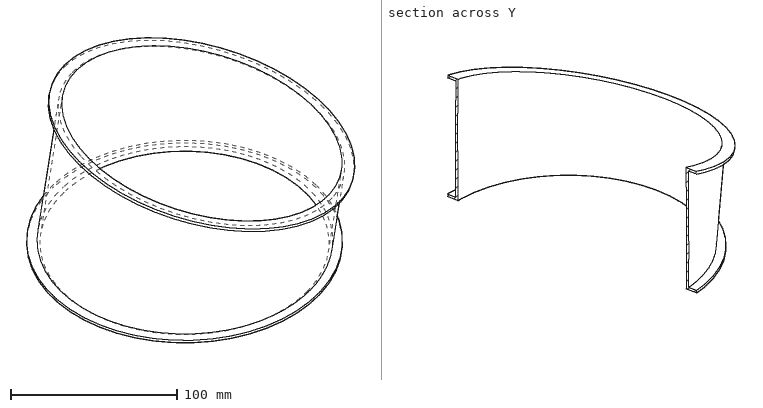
import cadquery as cq
import math

flange_diameter = 190.0
tube_diameter = 177.9
wall_thickness = 2.0
bore_diameter = tube_diameter - 2 * wall_thickness
flange_thickness = 2.0
bend_angle = 15.0
overall_height = 107.1
overall_length = 197.6

flange_radius = flange_diameter / 2
bend_sine = math.sin(math.radians(bend_angle))
bend_cosine = math.cos(math.radians(bend_angle))

top_y = overall_length - flange_radius - flange_radius * bend_cosine
top_z = overall_height - flange_radius * bend_sine

bottom_plane = cq.Plane(origin=(0, 0, 0), xDir=(1, 0, 0), normal=(0, 0, 1))
top_plane = cq.Plane(
    origin=(0, top_y, top_z),
    xDir=(1, 0, 0),
    normal=(0, bend_sine, bend_cosine),
)


def lofted_plug(diameter):
    """Solid running straight from the bottom circle to the tilted top circle."""
    bottom_circle = cq.Wire.makeCircle(diameter / 2, bottom_plane.origin, bottom_plane.zDir)
    top_circle = cq.Wire.makeCircle(diameter / 2, top_plane.origin, top_plane.zDir)
    return cq.Workplane(cq.Solid.makeLoft([bottom_circle, top_circle], True))


def flange_disc(plane, thickness):
    return cq.Workplane(plane).circle(flange_radius).extrude(thickness)


outer_body = (
    lofted_plug(tube_diameter)
    .union(flange_disc(bottom_plane, flange_thickness))
    .union(flange_disc(top_plane, -flange_thickness))
)
result = outer_body.cut(lofted_plug(bore_diameter))